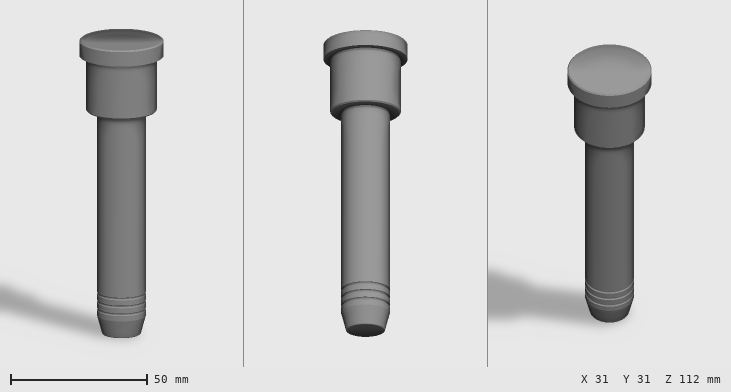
import cadquery as cq
import math

total_length = 112.0
head_thickness = 6.0
collar_length = 21.0

head_radius = 31.0 / 2
collar_radius = 26.0 / 2
shaft_radius = 18.0 / 2

head_chamfer = 0.5
collar_chamfer = 0.5
tip_fillet = 0.5

taper_length = 7.0
taper_angle = 15.0

undercut_width = 1.0
undercut_depth = 0.3

groove_count = 3
groove_width = 1.0
groove_pitch = 3.0
first_groove_bottom = 9.0

head_bottom = total_length - head_thickness
collar_bottom = head_bottom - collar_length
tip_radius = shaft_radius - taper_length * math.tan(math.radians(taper_angle))


def cylinder(radius, bottom, top):
    """Solid cylinder on the Z axis between two levels."""
    return cq.Workplane("XY").workplane(offset=bottom).circle(radius).extrude(top - bottom)


def turned_profile(points):
    """Solid of revolution about the Z axis from (radius, level) points."""
    return cq.Workplane("XZ").polyline(points).close().revolve(360, (0, 0, 0), (0, 1, 0))


def make_head():
    head = cylinder(head_radius, head_bottom, total_length)
    return head.faces(">Z").chamfer(head_chamfer)


def make_collar():
    collar = cylinder(collar_radius, collar_bottom, head_bottom)
    return collar.faces("<Z").chamfer(collar_chamfer)


def make_shaft():
    shaft = turned_profile([
        (0, 0),
        (tip_radius, 0),
        (shaft_radius, taper_length),
        (shaft_radius, collar_bottom),
        (0, collar_bottom),
    ])
    return shaft.faces("<Z").fillet(tip_fillet)


def undercut(radius, shoulder):
    """Ring below a shoulder, with a 45 degree runout to the full radius."""
    floor_radius = radius - undercut_depth
    bottom = shoulder - undercut_width
    return turned_profile([
        (floor_radius, shoulder),
        (radius, shoulder),
        (radius, bottom),
        (floor_radius, bottom + undercut_depth),
    ])


def lubrication_groove(bottom):
    """Half-round ring cut into the shaft."""
    groove_radius = groove_width / 2
    profile = (
        cq.Workplane("XZ")
        .moveTo(shaft_radius, bottom)
        .threePointArc(
            (shaft_radius - groove_radius, bottom + groove_radius),
            (shaft_radius, bottom + groove_width),
        )
        .close()
    )
    return profile.revolve(360, (0, 0, 0), (0, 1, 0))


result = make_head().union(make_collar()).union(make_shaft())
result = result.cut(undercut(collar_radius, head_bottom))
result = result.cut(undercut(shaft_radius, collar_bottom))
for index in range(groove_count):
    result = result.cut(lubrication_groove(first_groove_bottom + index * groove_pitch))